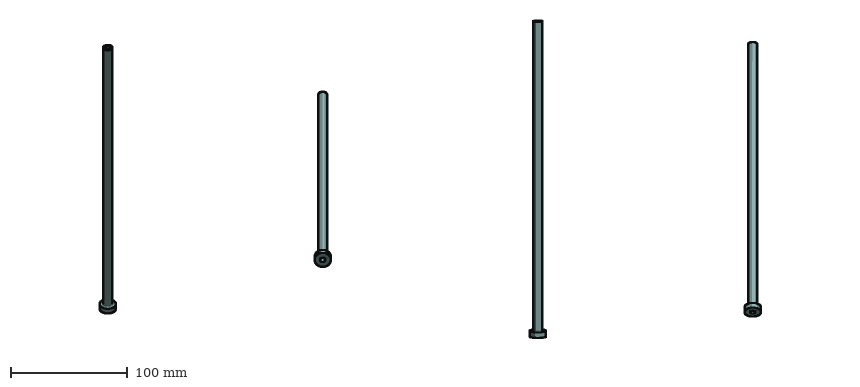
import cadquery as cq

total_length = 275.0
head_diameter = 14.0
head_height = 5.0
tube_diameter = 8.0
bore_diameter = 4.5
root_fillet = 0.5

head_radius = head_diameter / 2
tube_radius = tube_diameter / 2
bore_radius = bore_diameter / 2

half_section = (
    cq.Workplane("XZ")
    .moveTo(bore_radius, 0)
    .lineTo(head_radius, 0)
    .lineTo(head_radius, head_height)
    .lineTo(tube_radius + root_fillet, head_height)
    .radiusArc((tube_radius, head_height + root_fillet), root_fillet)
    .lineTo(tube_radius, total_length)
    .lineTo(bore_radius, total_length)
    .close()
)

axis_start = (0, 0)
axis_end = (0, 1)
result = half_section.revolve(360, axis_start, axis_end)